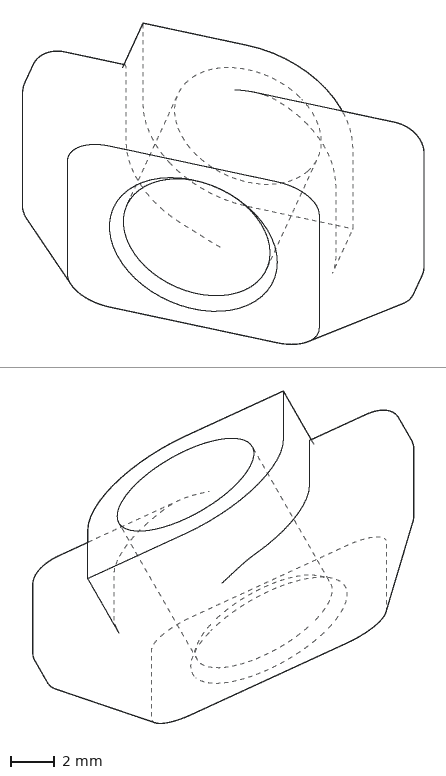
import cadquery as cq

length = 18.7
height = 10.0
front_width = 12.0
flange_depth = 5.7
taper_depth = 3.7
corner_radius = 1.5
taper_edge_radius = 0.5
back_edge_radius = 0.5

total_depth = 8.3
boss_radius = height / 2

hole_diameter = 7.0
hole_chamfer = 0.5


def make_flange():
    """Tapered bar with rounded ends and a rounded back rim; its front face lies at Y = 0."""
    half_front = front_width / 2
    half_length = length / 2
    bar = (
        cq.Workplane("XY")
        .workplane(offset=-height / 2)
        .polyline([
            (-half_front, 0),
            (half_front, 0),
            (half_length, taper_depth),
            (half_length, flange_depth),
            (-half_length, flange_depth),
            (-half_length, taper_depth),
        ])
        .close()
        .extrude(height)
    )
    end_faces = bar.faces("<X or >X or (not (|X or |Y or |Z))")
    bar = end_faces.edges("not |Z").fillet(corner_radius)
    for end in ("<X", ">X"):
        taper_rim = bar.faces(end).edges("|Z").edges("<Y")
        bar = taper_rim.fillet(taper_edge_radius)
    return bar.faces(">Y").edges().fillet(back_edge_radius)


def make_boss():
    """Round boss with square corners at (-X, +Z) and (+X, -Z)."""
    plane = cq.Workplane("XZ", origin=(0, total_depth, 0))
    boss_depth = total_depth - flange_depth + back_edge_radius
    boss = plane.circle(boss_radius).extrude(boss_depth)
    for side in (-1, 1):
        square_quarter = (
            plane.center(side * boss_radius / 2, -side * boss_radius / 2)
            .rect(boss_radius, boss_radius)
            .extrude(boss_depth)
        )
        boss = boss.union(square_quarter)
    return boss


def make_hole():
    """Cutter for the through hole and its front chamfer."""
    radius = hole_diameter / 2
    return (
        cq.Workplane("XY")
        .polyline([
            (0, 0),
            (radius + hole_chamfer, 0),
            (radius, hole_chamfer),
            (radius, total_depth),
            (0, total_depth),
        ])
        .close()
        .revolve(360, (0, 0, 0), (0, 1, 0))
    )


result = make_flange().union(make_boss()).cut(make_hole())